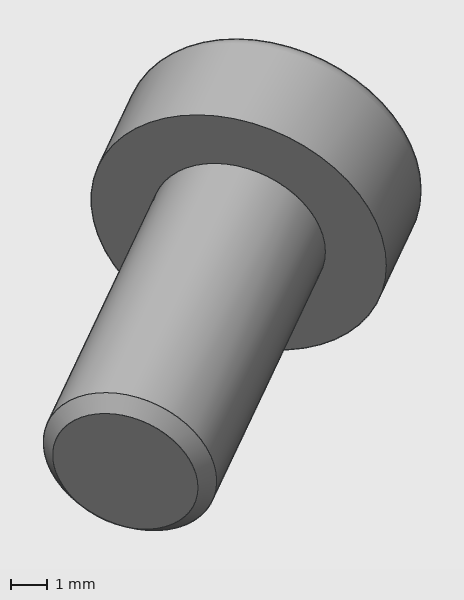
import cadquery as cq

total_length = 13.5
head_diameter = 8.5
head_height = 3.5
head_edge_radius = 0.5
shank_diameter = 5.0
tip_chamfer = 0.4

shank_length = total_length - head_height


def make_head():
    """Head disc with its outer rim rounded on the +Y face."""
    disc = cq.Workplane("XZ").circle(head_diameter / 2).extrude(-head_height)
    return disc.faces(">Y").edges().fillet(head_edge_radius)


def make_shank():
    """Cylindrical shank with a chamfered tip on the -Y end."""
    rod = cq.Workplane("XZ").circle(shank_diameter / 2).extrude(shank_length)
    return rod.faces("<Y").edges().chamfer(tip_chamfer)


result = make_head().union(make_shank())